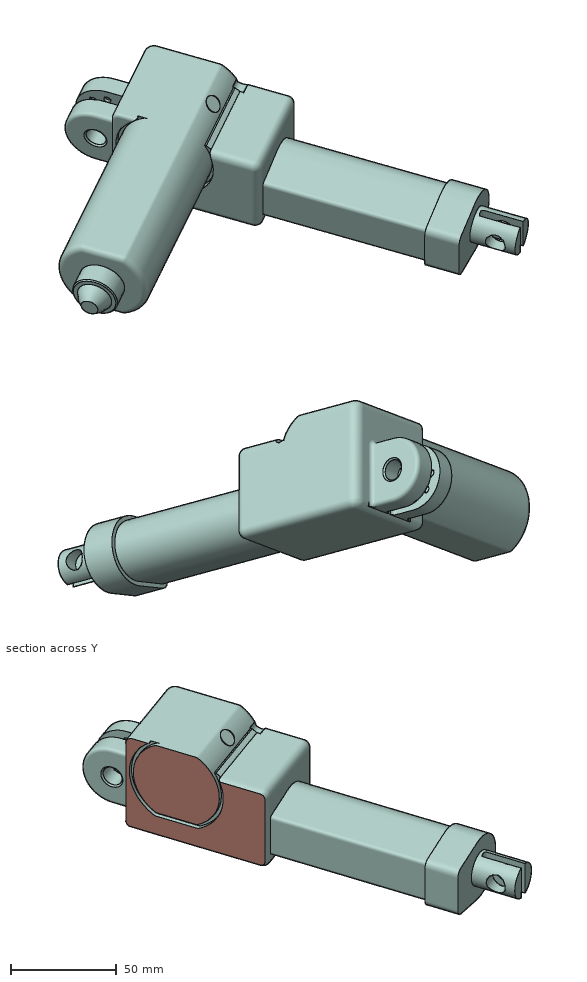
import cadquery as cq
import math


lug_radius = 16.0
lug_inner_y = 3.0
lug_outer_y = 12.95
lug_edge_fillet = 2.0
lug_root_fillet = 2.0
pin_hole_diameter = 10.0
pin_hole_chamfer = 0.8
root_ledge_margin = 0.2
foot_depth = 4.0
detent_count = 8
detent_pitch_radius = 10.5
detent_diameter = 3.4
detent_depth = 1.5

housing_x_min = 12.6
housing_x_max = 87.5
housing_y_front = -25.2
housing_y_back = 24.0
housing_z_min = -18.0
step_z = 26.9
top_z = 36.0
housing_fillet = 4.0
rear_left_fillet = 4.8
front_left_fillet = 1.8

motor_x = 39.45
motor_radius = 22.75
motor_half_height = 20.0
motor_z = top_z - motor_half_height
motor_end_y = -109.0
motor_corner_fillet = 3.0
motor_end_fillet = 3.0

clearance = 1.8
recess_depth = 3.0
curb_top_z = 28.4
curb_top_x = 59.3
curb_foot_x = 61.8
channel_x = 60.6
channel_radius = 3.0
channel_length = 7.5

plug_diameter = 8.4
plug_depth = 0.4
plug_angle = 42.0

boss_radius = 11.3
boss_end_y = -119.3
boss_edge_chamfer = 0.6
tip_base_radius = 8.6
tip_end_radius = 4.2
tip_end_y = -126.19
tip_bulge = 0.6

tube_radius = 14.9
tube_front_y = -21.4
tube_slope = 10.4
tube_corner_fillet = 2.0
cap_x_min = 169.9
cap_x_max = 187.2
cap_overhang = 2.1

rod_radius = 9.0
rod_end_x = 210.0
rod_hole_x = 200.0
slot_width = 4.0
slot_start_x = 189.0
slot_corner_fillet = 1.2


def box(x_range, y_range, z_range):
    """Box spanning the given (low, high) ranges."""
    sizes = [high - low for low, high in (x_range, y_range, z_range)]
    corner = (x_range[0], y_range[0], z_range[0])
    return cq.Workplane("XY").box(*sizes, centered=False).translate(corner)


def cylinder_y(x, z, radius, y_low, y_high):
    """Cylinder parallel to Y."""
    return (
        cq.Workplane("XZ", origin=(x, y_high, z))
        .circle(radius)
        .extrude(y_high - y_low)
    )


def barrel_prism(offset, y_low, y_high):
    """Round bar with flats above and below, grown outward by offset."""
    radius = motor_radius + offset
    half_height = motor_half_height + offset
    bar = cylinder_y(motor_x, motor_z, radius, y_low, y_high)
    flats = box(
        (motor_x - radius, motor_x + radius),
        (y_low, y_high),
        (motor_z - half_height, motor_z + half_height),
    )
    return bar.intersect(flats).edges("|Y").fillet(motor_corner_fillet)


def make_lug(side):
    """Rounded lug; side is +1 towards the back, -1 towards the front."""
    lug_width = lug_outer_y - lug_inner_y
    outline = (
        cq.Workplane("XZ", origin=(0, lug_width / 2, 0))
        .moveTo(housing_x_min, lug_radius)
        .lineTo(0, lug_radius)
        .threePointArc((-lug_radius, 0), (0, -lug_radius))
        .lineTo(housing_x_min, -lug_radius)
        .close()
        .extrude(lug_width)
    )
    outer_face = ">Y" if side > 0 else "<Y"
    lug = outline.faces(outer_face).edges("not >X").fillet(lug_edge_fillet)

    ledge = lug_root_fillet + root_ledge_margin
    foot = box(
        (housing_x_min, housing_x_min + foot_depth),
        (-lug_width / 2 - ledge, lug_width / 2 + ledge),
        (-lug_radius, lug_radius + ledge),
    )
    lug = lug.union(foot)
    zone_half_width = lug_width / 2 + root_ledge_margin
    root_zone = cq.selectors.BoxSelector(
        (housing_x_min - root_ledge_margin, -zone_half_width, -lug_radius),
        (housing_x_min + root_ledge_margin, zone_half_width, lug_radius + root_ledge_margin),
    )
    lug = lug.edges(root_zone).edges("not <Z").fillet(lug_root_fillet)
    return lug.translate((0, side * (lug_inner_y + lug_outer_y) / 2, 0))


def cut_lug_holes(body):
    """Pin hole through both lugs, chamfered at the outer faces."""
    body = body.cut(cylinder_y(0, 0, pin_hole_diameter / 2, -lug_outer_y, lug_outer_y))
    mouth_radius = pin_hole_diameter / 2 + pin_hole_chamfer
    for side in (1, -1):
        mouth = cq.Solid.makeCone(
            mouth_radius,
            pin_hole_diameter / 2,
            pin_hole_chamfer,
            cq.Vector(0, side * lug_outer_y, 0),
            cq.Vector(0, -side, 0),
        )
        body = body.cut(cq.Workplane(mouth))
    return body


def cut_lug_detents(body):
    """Ring of shallow blind holes around the pin hole, in the inner face of each lug."""
    half_span = lug_inner_y + detent_depth
    for index in range(detent_count):
        angle = 2 * math.pi * index / detent_count
        x = detent_pitch_radius * math.cos(angle)
        z = detent_pitch_radius * math.sin(angle)
        body = body.cut(cylinder_y(x, z, detent_diameter / 2, -half_span, half_span))
    return body


def make_housing():
    """Low gearbox block, tall left block and the rear end of the barrel."""
    y_range = (housing_y_front, housing_y_back)
    low = box((motor_x, housing_x_max), y_range, (housing_z_min, step_z))
    low = low.edges(">X or >Y or >Z or <Z").edges("not <X").fillet(housing_fillet)

    tall = box((housing_x_min, motor_x), y_range, (housing_z_min, top_z))
    tall = tall.edges("<X and >Y").fillet(rear_left_fillet)
    tall = tall.edges("(<X and (>Z or <Z)) or (>Y and (>Z or <Z)) or (<Y and <Z)").fillet(housing_fillet)
    tall = tall.faces("<Y").edges("<X or >Z").fillet(front_left_fillet)

    barrel_end = barrel_prism(0, housing_y_front, housing_y_back)
    barrel_end = barrel_end.faces(">Y").edges().fillet(housing_fillet)
    return low.union(tall).union(barrel_end)


def add_lugs(body):
    """Pair of rear lugs with their pin hole and detents."""
    for side in (1, -1):
        body = body.union(make_lug(side))
    return cut_lug_detents(cut_lug_holes(body))


def add_curb_and_recess(body):
    """Bevelled curb between barrel and step, front recess and rear channel."""
    recess_floor_y = housing_y_front + recess_depth
    channel_end_y = housing_y_back - channel_length
    curb = (
        cq.Workplane("XZ", origin=(0, channel_end_y, 0))
        .moveTo(motor_x, motor_z)
        .lineTo(motor_x, curb_top_z)
        .lineTo(curb_top_x, curb_top_z)
        .lineTo(curb_foot_x, step_z)
        .lineTo(curb_foot_x, motor_z)
        .close()
        .extrude(channel_end_y - recess_floor_y)
    )
    body = body.union(curb)
    body = body.cut(barrel_prism(clearance, housing_y_front, recess_floor_y))
    return body.cut(
        cylinder_y(channel_x, step_z, channel_radius, channel_end_y, housing_y_back)
    )


def make_motor():
    """Motor barrel with its end boss and domed tip."""
    barrel = barrel_prism(0, motor_end_y, 0)
    barrel = barrel.faces("<Y").edges().fillet(motor_end_fillet)
    boss = cylinder_y(motor_x, motor_z, boss_radius, boss_end_y, motor_end_y)
    boss = boss.faces("<Y").chamfer(boss_edge_chamfer)
    arc_middle = (
        (tip_base_radius + tip_end_radius) / 2 + tip_bulge,
        (boss_end_y + tip_end_y) / 2,
    )
    tip = (
        cq.Workplane("XY")
        .moveTo(0, boss_end_y)
        .lineTo(tip_base_radius, boss_end_y)
        .threePointArc(arc_middle, (tip_end_radius, tip_end_y))
        .lineTo(0, tip_end_y)
        .close()
        .revolve(360, (0, 0), (0, 1))
        .translate((motor_x, 0, motor_z))
    )
    return barrel.union(boss).union(tip)


def cut_plug_seat(body):
    """Shallow round seat facing radially out of the barrel shoulder."""
    angle = math.radians(plug_angle)
    outward = cq.Vector(math.sin(angle), 0, math.cos(angle))
    floor_centre = cq.Vector(motor_x, 0, motor_z) + outward * (motor_radius - plug_depth)
    seat = cq.Solid.makeCylinder(plug_diameter / 2, 2 * plug_depth, floor_centre, outward)
    return body.cut(cq.Workplane(seat))


def tube_prism(offset, x_low, x_high):
    """Round-backed bar tapering tangentially to a flat front face."""
    radius = tube_radius + offset
    front_y = tube_front_y - offset
    slope = math.radians(tube_slope)
    tangent_y = -radius * math.sin(slope)
    tangent_z = radius * math.cos(slope)
    corner_z = tangent_z - (tangent_y - front_y) * math.tan(slope)
    return (
        cq.Workplane("YZ", origin=(x_low, 0, 0))
        .moveTo(tangent_y, tangent_z)
        .threePointArc((radius, 0), (tangent_y, -tangent_z))
        .lineTo(front_y, -corner_z)
        .lineTo(front_y, corner_z)
        .close()
        .extrude(x_high - x_low)
        .edges("|X and <Y")
        .fillet(tube_corner_fillet + offset)
    )


def make_rod():
    """Round rod end with a clevis slot and a cross pin hole."""
    rod = cq.Workplane("YZ", origin=(cap_x_max, 0, 0)).circle(rod_radius).extrude(rod_end_x - cap_x_max)
    slot = box(
        (slot_start_x, rod_end_x),
        (-slot_width / 2, slot_width / 2),
        (-rod_radius, rod_radius),
    )
    slot = slot.edges("|Z and <X").fillet(slot_corner_fillet)
    pin_hole = cylinder_y(rod_hole_x, 0, pin_hole_diameter / 2, -rod_radius, rod_radius)
    return rod.cut(slot).cut(pin_hole)


housing = add_curb_and_recess(add_lugs(make_housing()))
drive = cut_plug_seat(housing.union(make_motor()))
tube = tube_prism(0, housing_x_max, cap_x_min)
end_cap = tube_prism(cap_overhang, cap_x_min, cap_x_max)
result = drive.union(tube).union(end_cap).union(make_rod())